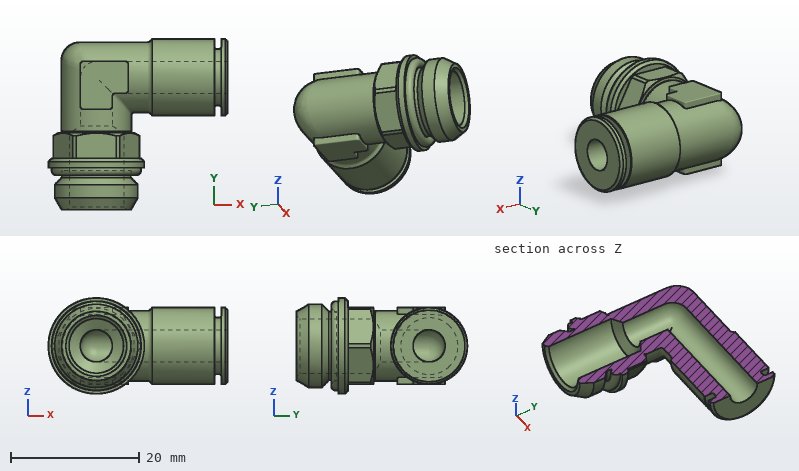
import cadquery as cq
import math


body_radius = 11.0 / 2
outer_bend_radius = 3.0
inner_bend_radius = 0.4
bend_rounding_half_height = 5.2
body_end_y = -8.4
neck_radius = body_radius - 0.2

hex_top_y = -8.65
hex_across_flats = 12.0
hex_corner_radius = 13.5 / 2
hex_top_radius = 5.9
hex_chamfer_angle = 30.0
flange_top_y = -12.65
flange_bottom_y = -14.15
flange_radius = 15.0 / 2
flange_chamfer = 0.5
seal_bottom_y = -15.3
seal_radius = 14.0 / 2
undercut_radius = 10.8 / 2
undercut_end_y = -15.65
thread_radius = 13.0 / 2
thread_end_y = -20.7
lead_in_angle = 30.0

sleeve_radius = 12.0 / 2
sleeve_start_x = 8.25
sleeve_start_fillet = 0.4
sleeve_end_x = 18.5
sleeve_end_chamfer = 0.1
collar_start_x = 19.5
collar_end_x = 20.5
collar_chamfer = 0.4
collar_neck_radius = 8.9 / 2
groove_sleeve_fillet = 0.15
groove_collar_fillet = 0.3

pad_height = 6.0
pad_base_height = 3.5
pad_near = 2.5
pad_far = 5.0
pad_corner_radius = 0.5
pad_edge_rounding = 0.15

passage_radius = 5.0 / 2
inlet_radius = 8.5 / 2
inlet_chamfer = 0.5
inlet_end_y = hex_top_y
drill_point_angle = 118.0

selection_margin = 0.01


def rise(run, angle):
    """Return the height of a slope over a given run."""
    return run * math.tan(math.radians(angle))


def revolve_about_y(points):
    """Turn a closed polygon of (radius, y) points about the Y axis."""
    return cq.Workplane("XY").polyline(points).close().revolve(360, (0, 0, 0), (0, 1, 0))


def revolve_about_x(points):
    """Turn a closed polygon of (x, radius) points about the X axis."""
    return cq.Workplane("XY").polyline(points).close().revolve(360, (0, 0, 0), (1, 0, 0))


def rim_at(x, radius):
    """Select the circular edge of the given radius that lies at x around the X axis."""
    margin = selection_margin
    reach = radius + margin
    return cq.selectors.BoxSelector(
        (x - margin, -reach, -reach), (x + margin, reach, reach), boundingbox=True
    )


def mitre_half(corner_x, corner_y):
    """Return the triangular block on one side of the mitre plane x = -y."""
    reach = 3 * abs(body_end_y)
    corners = [(-reach, reach), (corner_x * reach, corner_y * reach), (reach, -reach)]
    return cq.Workplane("XY").polyline(corners).close().extrude(2 * body_radius, both=True)


def make_elbow():
    """Two equal cylinders mitred at the bend, with the outer and inner bend edges rounded."""
    overlap = 2 * body_radius
    leg_x = cq.Workplane("YZ", origin=(-overlap, 0, 0)).circle(body_radius).extrude(overlap + sleeve_start_x)
    leg_y = cq.Workplane("XZ", origin=(0, overlap, 0)).circle(body_radius).extrude(overlap - body_end_y)
    elbow = leg_x.intersect(mitre_half(1, 1)).union(leg_y.intersect(mitre_half(-1, -1)))

    span = 4 * sleeve_end_x
    slab = cq.Workplane("XY").box(span, span, 2 * bend_rounding_half_height)
    caps = elbow.cut(slab)
    middle = elbow.intersect(slab)
    near = math.sqrt(body_radius**2 - bend_rounding_half_height**2)
    far = body_radius
    top = bend_rounding_half_height - selection_margin
    outer_bend = cq.selectors.BoxSelector((-far, near, -top), (-near, far, top))
    inner_bend = cq.selectors.BoxSelector((near, -far, -top), (far, -near, top))
    middle = middle.edges(outer_bend).fillet(outer_bend_radius)
    middle = middle.edges(inner_bend).fillet(inner_bend_radius)
    return middle.union(caps)


def make_pads():
    """L-shaped raised pads on both sides of the bend."""
    outline = [
        (-pad_near, pad_near),
        (pad_far, pad_near),
        (pad_far, -pad_near),
        (pad_near, -pad_near),
        (pad_near, -pad_far),
        (-pad_near, -pad_far),
    ]
    pads = cq.Workplane("XY").polyline(outline).close().extrude(pad_height, both=True)
    pads = pads.edges("|Z").fillet(pad_corner_radius)
    pads = pads.faces("<Z or >Z").edges().fillet(pad_edge_rounding)
    bend_core = cq.Workplane("XY").box(4 * pad_far, 4 * pad_far, 2 * pad_base_height)
    return pads.cut(bend_core)


def make_neck():
    """Short relief between the body and the hexagon."""
    return revolve_about_y(
        [(0, body_end_y), (neck_radius, body_end_y), (neck_radius, hex_top_y), (0, hex_top_y)]
    )


def make_hexagon():
    """Hexagon with turned corners and a conical chamfer at its top."""
    hex_across_corners = hex_across_flats / math.cos(math.pi / 6)
    hexagon = (
        cq.Workplane("XZ", origin=(0, hex_top_y, 0))
        .polygon(6, hex_across_corners)
        .extrude(hex_top_y - flange_top_y)
    )
    chamfer_drop = rise(hex_corner_radius - hex_top_radius, hex_chamfer_angle)
    turned_blank = revolve_about_y(
        [
            (0, hex_top_y),
            (hex_top_radius, hex_top_y),
            (hex_corner_radius, hex_top_y - chamfer_drop),
            (hex_corner_radius, flange_top_y),
            (0, flange_top_y),
        ]
    )
    return hexagon.intersect(turned_blank)


def make_flange():
    """Round flange below the hexagon, chamfered on its upper rim."""
    return revolve_about_y(
        [
            (0, flange_top_y),
            (flange_radius - flange_chamfer, flange_top_y),
            (flange_radius, flange_top_y - flange_chamfer),
            (flange_radius, flange_bottom_y),
            (0, flange_bottom_y),
        ]
    )


def make_seal_ring():
    """O-ring seated on the undercut and bedded into the flange, with the gap behind it filled."""
    section_radius = (seal_radius - undercut_radius) / 2
    ring_radius = undercut_radius + section_radius
    ring_y = seal_bottom_y + section_radius
    ring = (
        cq.Workplane("XY", origin=(-ring_radius, ring_y, 0))
        .circle(section_radius)
        .revolve(360, (ring_radius, 0, 0), (ring_radius, 1, 0))
    )
    backing = revolve_about_y(
        [(0, flange_bottom_y), (ring_radius, flange_bottom_y), (ring_radius, ring_y), (0, ring_y)]
    )
    return ring.union(backing)


def make_thread_end():
    """Undercut, 45 degree shoulder, thread cylinder and tapered lead-in."""
    step = thread_radius - undercut_radius
    lead_in_length = step / math.tan(math.radians(lead_in_angle))
    return revolve_about_y(
        [
            (0, flange_bottom_y),
            (undercut_radius, flange_bottom_y),
            (undercut_radius, undercut_end_y),
            (thread_radius, undercut_end_y - step),
            (thread_radius, thread_end_y + lead_in_length),
            (undercut_radius, thread_end_y),
            (0, thread_end_y),
        ]
    )


def make_tube_end():
    """Sleeve with a blended 45 degree start, and the release collar on its filleted neck."""
    start_step = sleeve_radius - body_radius
    tube_end = revolve_about_x(
        [
            (pad_far, 0),
            (pad_far, body_radius),
            (sleeve_start_x, body_radius),
            (sleeve_start_x + start_step, sleeve_radius),
            (sleeve_end_x - sleeve_end_chamfer, sleeve_radius),
            (sleeve_end_x, sleeve_radius - sleeve_end_chamfer),
            (sleeve_end_x, collar_neck_radius),
            (collar_start_x, collar_neck_radius),
            (collar_start_x, sleeve_radius),
            (collar_end_x - collar_chamfer, sleeve_radius),
            (collar_end_x, sleeve_radius - collar_chamfer),
            (collar_end_x, 0),
        ]
    )
    tube_end = tube_end.edges(rim_at(sleeve_start_x, body_radius)).fillet(sleeve_start_fillet)
    tube_end = tube_end.edges(rim_at(sleeve_end_x, collar_neck_radius)).fillet(groove_sleeve_fillet)
    return tube_end.edges(rim_at(collar_start_x, collar_neck_radius)).fillet(groove_collar_fillet)


def make_passage():
    """Bent through passage with a spherical elbow, and the wide drilled inlet on the thread side."""
    passage = cq.Workplane("YZ").circle(passage_radius).extrude(collar_end_x)
    passage = passage.union(cq.Workplane("XZ").circle(passage_radius).extrude(-thread_end_y))
    passage = passage.union(cq.Workplane("XY").sphere(passage_radius))
    point_length = (inlet_radius - passage_radius) / math.tan(math.radians(drill_point_angle / 2))
    inlet = revolve_about_y(
        [
            (0, thread_end_y),
            (inlet_radius + inlet_chamfer, thread_end_y),
            (inlet_radius, thread_end_y + inlet_chamfer),
            (inlet_radius, inlet_end_y),
            (passage_radius, inlet_end_y + point_length),
            (0, inlet_end_y + point_length),
        ]
    )
    return passage.union(inlet)


result = (
    make_elbow()
    .union(make_pads())
    .union(make_tube_end())
    .union(make_neck())
    .union(make_hexagon())
    .union(make_flange())
    .union(make_seal_ring())
    .union(make_thread_end())
    .cut(make_passage())
)